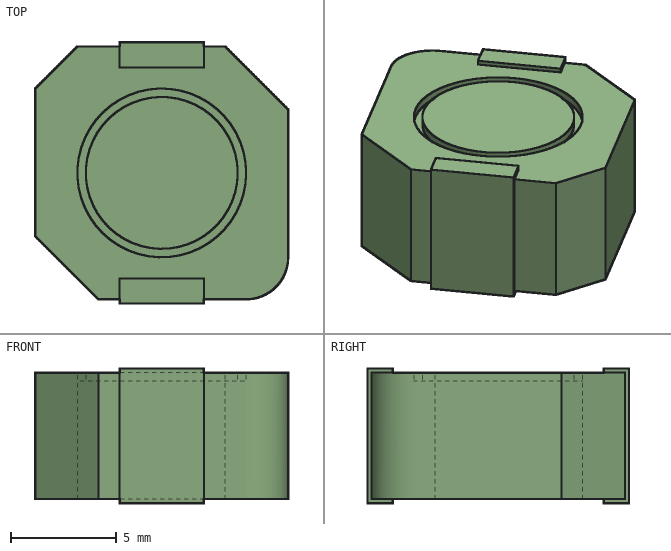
import cadquery as cq

body_side = 12.0
body_height = 6.0
large_chamfer = 3.0
small_chamfer = 2.0
corner_radius = 2.0

groove_outer_diameter = 8.0
core_diameter = 7.2
groove_depth = 0.4

clip_width = 4.0
clip_thickness = 0.2
clip_lap = 1.0

half_side = body_side / 2
body_bottom = clip_thickness
body_top = body_bottom + body_height


def make_body():
    """Square block with three chamfered upright edges and one rounded one."""
    block = cq.Workplane("XY").workplane(offset=body_bottom).rect(body_side, body_side).extrude(body_height)
    block = block.edges("|Z and (<(1, 1, 0) or >(1, 1, 0))").chamfer(large_chamfer)
    block = block.edges("|Z and <(1, -1, 0)").chamfer(small_chamfer)
    return block.edges("|Z and >(1, -1, 0)").fillet(corner_radius)


def make_groove():
    """Ring-shaped cutter that separates the core from the rest of the top face."""
    return (
        cq.Workplane("XY")
        .workplane(offset=body_top - groove_depth)
        .circle(groove_outer_diameter / 2)
        .circle(core_diameter / 2)
        .extrude(groove_depth)
    )


def make_clip(side):
    """C-shaped clip on the Y face given by side (-1 or 1)."""
    outer_y = side * (half_side + clip_thickness)
    face_y = side * half_side
    lap_y = side * (half_side - clip_lap)
    clip_top = body_top + clip_thickness
    profile = [
        (outer_y, 0),
        (outer_y, clip_top),
        (lap_y, clip_top),
        (lap_y, body_top),
        (face_y, body_top),
        (face_y, body_bottom),
        (lap_y, body_bottom),
        (lap_y, 0),
    ]
    return cq.Workplane("YZ").polyline(profile).close().extrude(clip_width / 2, both=True)


result = make_body().cut(make_groove())
for side in (-1, 1):
    result = result.union(make_clip(side))